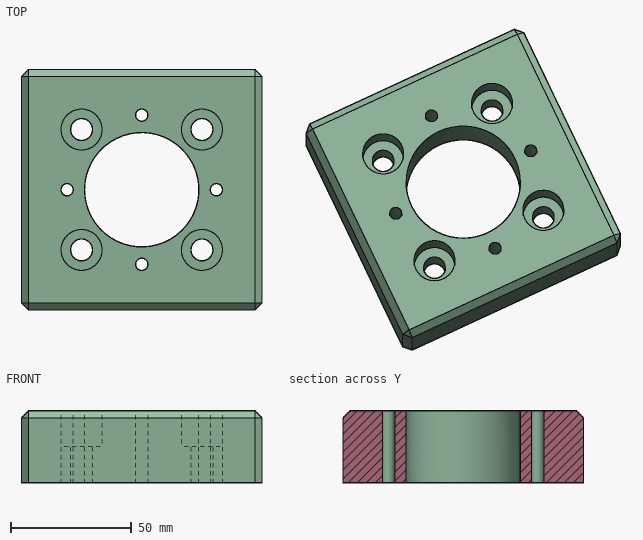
import cadquery as cq

side = 100.0
height = 30.0
chamfer = 3.0

bore_diameter = 47.4

screw_spacing = 50.0
screw_diameter = 9.0
counterbore_diameter = 17.0
counterbore_depth = 15.0

pin_circle_radius = 31.0
pin_diameter = 5.0
pin_count = 4


def make_block():
    """Block with its vertical corners and top edges chamfered."""
    block = cq.Workplane("XY").box(side, side, height, centered=(True, True, False))
    return block.edges("|Z or >Z").chamfer(chamfer)


def cut_bore(body):
    return body.faces(">Z").workplane(origin=(0, 0, height)).hole(bore_diameter)


def cut_screw_holes(body):
    return (
        body.faces(">Z")
        .workplane(origin=(0, 0, height))
        .rarray(screw_spacing, screw_spacing, 2, 2)
        .cboreHole(screw_diameter, counterbore_diameter, counterbore_depth)
    )


def cut_pin_holes(body):
    return (
        body.faces(">Z")
        .workplane(origin=(0, 0, height))
        .polarArray(pin_circle_radius, 0, 360, pin_count)
        .hole(pin_diameter)
    )


result = make_block()
result = cut_bore(result)
result = cut_screw_holes(result)
result = cut_pin_holes(result)